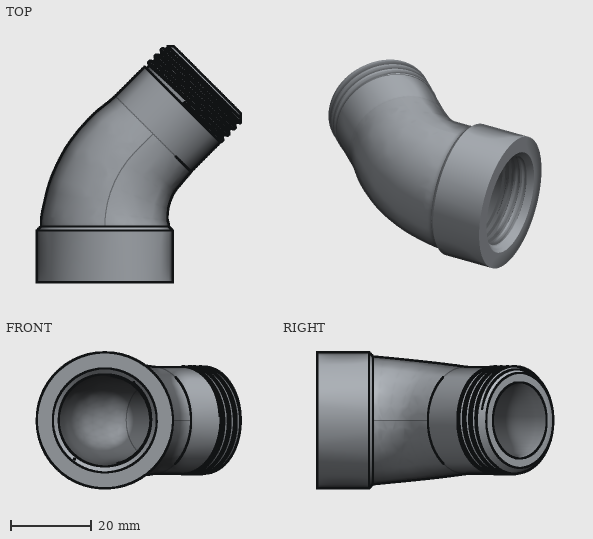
import cadquery as cq
import math

socket_diameter = 34.0
socket_length = 13.95
socket_chamfer = 1.05
bore_diameter = 23.0
mouth_diameter = 25.95
female_pitch = 1.8
female_depth = 0.75
female_turns = 3.5
female_start = 1.7
groove_turn = 37.0

bend_angle = 45.0
corner_y = 25.0
elbow_start_diameter = 31.95
spigot_diameter = 26.7
spigot_bore_diameter = 19.0
elbow_end = 17.05
spigot_shoulder = 27.4
outlet_end = 36.15
section_count = 8

male_root_diameter = 25.45
male_crest_diameter = 27.0
male_pitch = 2.2
male_turns = 4.0
male_start = 0.05
end_face_diameter = 23.7
envelope_diameter = 29.45
end_chamfer = (envelope_diameter - end_face_diameter) / 2

crest_fraction = 0.3
base_fraction = 0.8
root_overlap = 0.2

tangent_length = corner_y - socket_length
bend_radius = tangent_length / math.tan(math.radians(bend_angle / 2))
arc_length = bend_radius * math.radians(bend_angle)
path_length = arc_length + elbow_end - tangent_length


def station(distance):
    """Plane across the elbow's axis at a distance from the elbow's start."""
    angle = min(distance / bend_radius, math.radians(bend_angle))
    straight = max(0, distance - arc_length)
    direction = (math.sin(angle), math.cos(angle), 0)
    x = bend_radius * (1 - math.cos(angle)) + straight * direction[0]
    y = socket_length + bend_radius * math.sin(angle) + straight * direction[1]
    return cq.Plane(origin=(x, y, 0), xDir=(0, 0, 1), normal=direction)


def tapered_elbow(start_diameter, end_diameter):
    """Solid of round sections that shrink evenly along the elbow's axis."""
    wires = []
    for index in range(section_count + 1):
        share = index / section_count
        plane = station(share * path_length)
        radius = (start_diameter + share * (end_diameter - start_diameter)) / 2
        wires.append(cq.Wire.makeCircle(radius, plane.origin, plane.zDir))
    return cq.Workplane(cq.Solid.makeLoft(wires))


def helical_ridge(base_radius, tip_radius, pitch, turns):
    """Trapezoidal thread ridge winding up from the local origin."""
    outward = math.copysign(1, tip_radius - base_radius)
    buried_radius = base_radius - outward * root_overlap
    half_base = base_fraction * pitch / 2
    half_crest = crest_fraction * pitch / 2
    helix = cq.Wire.makeHelix(pitch, pitch * turns, base_radius)
    profile = cq.Workplane("XZ").polyline([
        (buried_radius, -half_base),
        (tip_radius, -half_crest),
        (tip_radius, half_crest),
        (buried_radius, half_base),
    ]).close()
    return profile.sweep(cq.Workplane(helix), isFrenet=True)


def place(body, plane):
    """Move a body from the local Z axis onto a plane's normal."""
    return body.newObject([body.val().moved(cq.Location(plane))])


def axis_plane(distance):
    """Plane across the outlet axis at a distance from the corner."""
    angle = math.radians(bend_angle)
    direction = (math.sin(angle), math.cos(angle), 0)
    origin = (distance * direction[0], corner_y + distance * direction[1], 0)
    return cq.Plane(origin=origin, xDir=(0, 0, 1), normal=direction)


socket_plane = cq.Plane(origin=(0, 0, 0), xDir=(0, 0, 1), normal=(0, 1, 0))

socket = (
    cq.Workplane(socket_plane).circle(socket_diameter / 2).extrude(socket_length)
    .faces(">Y").chamfer(socket_chamfer)
)
spigot = cq.Workplane(axis_plane(elbow_end)).circle(spigot_diameter / 2).extrude(spigot_shoulder - elbow_end)

thread_length = outlet_end - spigot_shoulder
outlet = cq.Workplane("XY").circle(male_root_diameter / 2).extrude(thread_length)
male_ridge = helical_ridge(male_root_diameter / 2, male_crest_diameter / 2, male_pitch, male_turns)
envelope = (
    cq.Workplane("XY").circle(envelope_diameter / 2).extrude(thread_length)
    .faces(">Z").chamfer(end_chamfer)
)
outlet = outlet.union(male_ridge.translate((0, 0, male_start))).intersect(envelope)
outlet = place(outlet, axis_plane(spigot_shoulder))

socket_bore = cq.Workplane(socket_plane).circle(bore_diameter / 2).extrude(socket_length)
mouth_depth = (mouth_diameter - bore_diameter) / 2
mouth = cq.Workplane(cq.Solid.makeCone(
    mouth_diameter / 2, bore_diameter / 2, mouth_depth, dir=cq.Vector(0, 1, 0)
))
female_groove = helical_ridge(
    bore_diameter / 2, bore_diameter / 2 + female_depth, female_pitch, female_turns
).translate((0, 0, female_start)).rotate((0, 0, 0), (0, 0, 1), groove_turn)
outlet_bore = (
    cq.Workplane(axis_plane(elbow_end)).circle(spigot_bore_diameter / 2).extrude(outlet_end - elbow_end)
)

threaded_socket = socket.cut(socket_bore).cut(mouth).cut(place(female_groove, socket_plane))
elbow = (
    tapered_elbow(elbow_start_diameter, spigot_diameter)
    .union(spigot)
    .union(outlet)
    .cut(tapered_elbow(bore_diameter, spigot_bore_diameter))
    .cut(outlet_bore)
)
result = threaded_socket.union(elbow)